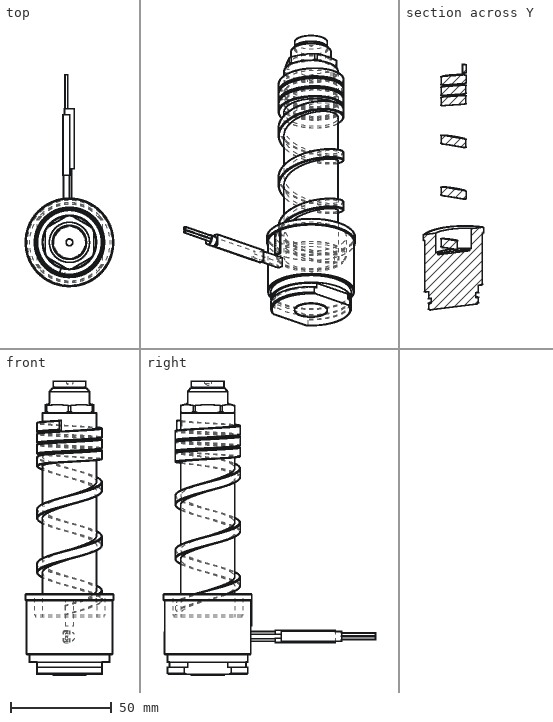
import cadquery as cq
import math

total_height = 146.3
foot_height = 0.4
groove_bottom = 4.0
groove_top = 6.4
cup_bottom = 10.1
collar_bottom = 37.0
cup_top = 40.4
tube_top = 130.6
hex_bottom = 131.0
neck_bottom = 135.6
neck_top = 141.0
shoulder_top = 142.8
tip_bottom = 143.2

foot_radius = 8.2
base_radius = 20.0
groove_radius = 19.1
base_flat_distance = 16.25
cup_radius = 21.5
collar_radius = 22.0
bore_radius = 17.5
bore_floor = 29.0
ledge_radius = 17.0
ledge_height = 1.0
edge_chamfer = 0.4
base_chamfer = 0.6

tube_radius = 13.5
tube_edge_chamfer = 0.3
hex_across_flats = 24.0
hex_turn = 30.0
hex_cone_drop = 0.7
neck_radius = 10.0
neck_foot_fillet = 0.8
shoulder_radius = 8.5
relief_radius = 7.8
tip_radius = 8.2
centre_hole_radius = 1.7
centre_hole_depth = 1.0
centre_hole_cone = 1.2

band_radius = 16.25
band_height = 4.8
band_chamfer = 0.35
band_embed = 0.5
tight_pitch = 5.4
open_pitch = 27.0
tight_turns = 3.0
tight_bottom_angle = 240.0
tight_extra_angle = 12.0
ramp_angle = 130.0
tight_bottom_z = 105.5
open_bottom_z = 30.0
points_per_turn = 24

cable_z = 19.3
flat_cable_x = -1.5
flat_cable_width = 3.0
flat_cable_height = 5.0
flat_cable_fillet = 0.6
flat_sleeve_width = 3.5
flat_sleeve_height = 6.2
flat_sleeve_fillet = 1.0
round_cable_radius = 1.1
round_sleeve_radius = 2.5
sleeve_length = 30.0
flat_sleeve_start = 33.5
round_sleeve_start = 36.6
wire_radius = 0.75
wire_spacing = 1.8
overall_depth = 105.5
wire_end = overall_depth - collar_radius
cable_embed = 2.0
cable_root = cup_radius - cable_embed

pad_width = 4.0
pad_bottom = 24.5
pad_height = 0.4
pad_depth = 2.0


def cylinder(radius, bottom, top):
    """Upright cylinder on the main axis between two levels."""
    return cq.Workplane("XY").workplane(offset=bottom).circle(radius).extrude(top - bottom)


def make_base():
    """Grooved round base with two parallel flats and a slightly raised foot."""
    disc = cylinder(base_radius, foot_height, groove_bottom).faces("<Z").chamfer(base_chamfer)
    waist = cylinder(groove_radius, groove_bottom, groove_top)
    lower = disc.union(waist)
    flats = cq.Workplane("XY").box(
        2 * base_flat_distance, 2 * collar_radius, groove_top, centered=(True, True, False)
    )
    flange = cylinder(base_radius, groove_top, cup_bottom)
    foot = cylinder(foot_radius, 0, foot_height)
    return lower.intersect(flats).union(flange).union(foot)


def make_cup():
    """Open cup with a rim collar, a narrow ledge at the bore floor and a shallow pad behind."""
    body = cylinder(cup_radius, cup_bottom, collar_bottom).faces("<Z").chamfer(edge_chamfer)
    collar = cylinder(collar_radius, collar_bottom, cup_top).edges().chamfer(edge_chamfer)
    pad = (
        cq.Workplane("XY")
        .box(pad_width, pad_depth, collar_bottom - pad_bottom, centered=(True, False, False))
        .translate((0, cup_radius + pad_height - pad_depth, pad_bottom))
    )
    bore = cylinder(bore_radius, bore_floor + ledge_height, cup_top)
    bore = bore.union(cylinder(ledge_radius, bore_floor, cup_top))
    return body.union(collar).union(pad).cut(bore)


def make_tube():
    """Plain tube standing in the cup."""
    tube = cylinder(tube_radius, bore_floor, tube_top)
    return tube.faces(">Z").chamfer(tube_edge_chamfer)


def make_hexagon():
    """Hexagon with flats facing X, rounded off to the tube and coned down at its top."""
    across_corners = hex_across_flats / math.cos(math.pi / 6)
    hexagon = (
        cq.Workplane("XY")
        .workplane(offset=tube_top)
        .polygon(6, across_corners)
        .extrude(neck_bottom - tube_top)
        .rotate((0, 0, 0), (0, 0, 1), hex_turn)
    )
    cone_top = neck_bottom - neck_foot_fillet
    foot_edge = neck_radius + neck_foot_fillet
    arc_inset = neck_foot_fillet * (1 - math.sqrt(0.5))
    neck_in = tube_radius - (hex_bottom - tube_top)
    envelope = (
        cq.Workplane("XZ")
        .moveTo(0, tube_top)
        .lineTo(neck_in, tube_top)
        .lineTo(tube_radius, hex_bottom)
        .lineTo(tube_radius, cone_top - hex_cone_drop)
        .lineTo(foot_edge, cone_top)
        .threePointArc((neck_radius + arc_inset, cone_top + arc_inset), (neck_radius, neck_bottom))
        .lineTo(0, neck_bottom)
        .close()
        .revolve(360, (0, 0, 0), (0, 1, 0))
    )
    return hexagon.intersect(envelope)


def make_tip():
    """Stepped round end above the hexagon with a drilled centre hole."""
    return (
        cq.Workplane("XZ")
        .moveTo(0, neck_bottom)
        .lineTo(neck_radius, neck_bottom)
        .lineTo(neck_radius, neck_top)
        .lineTo(shoulder_radius, shoulder_top)
        .lineTo(relief_radius, shoulder_top)
        .lineTo(relief_radius, tip_bottom)
        .lineTo(tip_radius, tip_bottom)
        .lineTo(tip_radius, total_height)
        .lineTo(centre_hole_radius, total_height)
        .lineTo(centre_hole_radius, total_height - centre_hole_depth)
        .lineTo(0, total_height - centre_hole_depth - centre_hole_cone)
        .close()
        .revolve(360, (0, 0, 0), (0, 1, 0))
    )


def make_band(start_angle, end_angle, height_at):
    """Spiral band between two angles (degrees); height_at(angle) is the Z of its underside."""
    inner = tube_radius - band_embed
    corners = [
        (inner, 0),
        (band_radius - band_chamfer, 0),
        (band_radius, band_chamfer),
        (band_radius, band_height - band_chamfer),
        (band_radius - band_chamfer, band_height),
        (inner, band_height),
    ]
    steps = math.ceil((end_angle - start_angle) / 360 * points_per_turn)
    angles = [start_angle + (end_angle - start_angle) * i / steps for i in range(steps + 1)]
    rails = []
    starts = []
    ends = []
    for radius, rise in corners:
        points = []
        for angle in angles:
            turn = math.radians(angle)
            points.append(
                cq.Vector(radius * math.cos(turn), radius * math.sin(turn), height_at(angle) + rise)
            )
        rails.append(cq.Edge.makeSpline(points))
        starts.append(points[0])
        ends.append(points[-1])
    faces = []
    for i, rail in enumerate(rails):
        faces.append(cq.Face.makeRuledSurface(rail, rails[(i + 1) % len(rails)]))
    for outline in (starts, ends):
        faces.append(cq.Face.makeFromWires(cq.Wire.makePolygon(outline, close=True)))
    solid = cq.Solid.makeSolid(cq.Shell.makeShell(faces))
    return cq.Workplane(obj=solid.fix())


def make_spiral():
    """Closely wound coils at the top, a stretch of growing pitch, then open coils below."""
    ramp_drop = (tight_pitch + open_pitch) / 2 * ramp_angle / 360
    ramp_bottom_angle = tight_bottom_angle - ramp_angle
    ramp_bottom_z = tight_bottom_z - ramp_drop
    tight_top_angle = tight_bottom_angle + 360 * tight_turns + tight_extra_angle
    open_bottom_angle = ramp_bottom_angle - 360 * (ramp_bottom_z - open_bottom_z) / open_pitch

    def tight_height(angle):
        return tight_bottom_z + tight_pitch * (angle - tight_bottom_angle) / 360

    def ramp_height(angle):
        below = tight_bottom_angle - angle
        growth = (open_pitch - tight_pitch) * below / (2 * ramp_angle)
        return tight_bottom_z - (tight_pitch + growth) * below / 360

    def open_height(angle):
        return ramp_bottom_z + open_pitch * (angle - ramp_bottom_angle) / 360

    tight = make_band(tight_bottom_angle, tight_top_angle, tight_height)
    ramp = make_band(ramp_bottom_angle, tight_bottom_angle, ramp_height)
    opened = make_band(open_bottom_angle, ramp_bottom_angle, open_height)
    return [tight, ramp, opened]


def make_bar(width, height, fillet, start, end):
    """Bar along Y with rounded long edges, centred on the flat cable."""
    bar = cq.Workplane("XY").box(width, end - start, height).edges("|Y").fillet(fillet)
    return bar.translate((flat_cable_x, (start + end) / 2, cable_z))


def make_rod(x, z, radius, start, end):
    """Round rod along Y."""
    rod = cq.Solid.makeCylinder(radius, end - start, cq.Vector(x, start, z), cq.Vector(0, 1, 0))
    return cq.Workplane(obj=rod)


def make_cables():
    """Flat and round cable, a sleeve on each, and two bare wires at the end."""
    flat_sleeve_end = flat_sleeve_start + sleeve_length
    round_sleeve_end = round_sleeve_start + sleeve_length
    flat_cable = make_bar(
        flat_cable_width, flat_cable_height, flat_cable_fillet, cable_root, flat_sleeve_start
    )
    flat_sleeve = make_bar(
        flat_sleeve_width, flat_sleeve_height, flat_sleeve_fillet, flat_sleeve_start, flat_sleeve_end
    )
    round_cable = make_rod(0, cable_z, round_cable_radius, cable_root, round_sleeve_start)
    round_sleeve = make_rod(0, cable_z, round_sleeve_radius, round_sleeve_start, round_sleeve_end)
    parts = [flat_cable, flat_sleeve, round_cable, round_sleeve]
    for side in (-1, 1):
        wire_z = cable_z + side * wire_spacing / 2
        parts.append(make_rod(flat_cable_x, wire_z, wire_radius, flat_sleeve_start, wire_end))
    return parts


result = make_base()
solids = [make_cup(), make_tube(), make_hexagon(), make_tip()]
for part in solids + make_spiral() + make_cables():
    result = result.union(part)